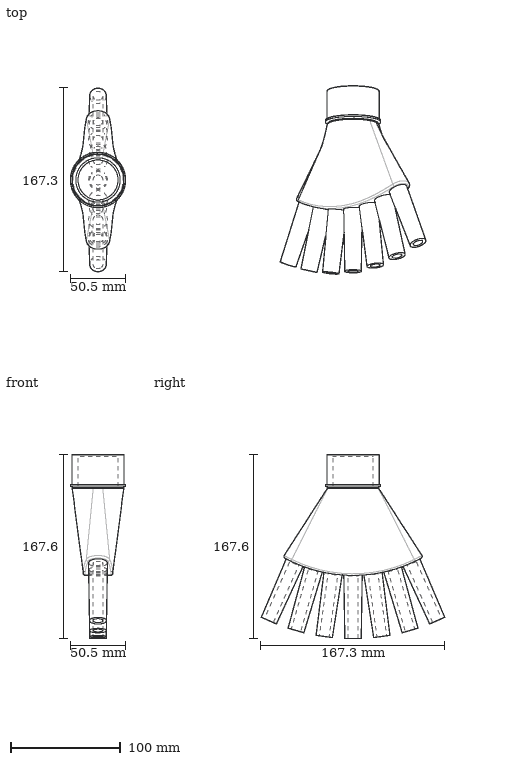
import cadquery as cq
import math

total_height = 167.6

socket_diameter = 47.8
bore_diameter = 36.4
bore_depth = 30.2
bore_lead_in = 2.0
rim_chamfer = 0.5

collar_diameter = 50.5
collar_top = 140.3
collar_bottom = 138.6
groove_diameter = 45.8
groove_top = 137.5
body_top = 136.5

neck_diameter = 47.3
neck_end_half_width = 4.4
base_level = 57.5
base_half_width = 13.2
end_half_width = 12.0
end_start = 63.0
end_tip = 74.5
fan_radius = 130.8
edge_radius = 1.7

tube_count = 7
tube_pitch = 8.0
tube_reach = 188.5
tube_length = 67.0
tube_end_diameter = 15.3
tube_taper = 0.9
tube_bore_diameter = 8.9
tube_bore_depth = 57.0


def turned_top():
    """Socket, collar and groove as one solid of revolution."""
    socket_radius = socket_diameter / 2
    collar_radius = collar_diameter / 2
    groove_radius = groove_diameter / 2
    outline = [
        (0, body_top),
        (groove_radius, body_top),
        (groove_radius, groove_top),
        (collar_radius, collar_bottom),
        (collar_radius, collar_top),
        (socket_radius, collar_top),
        (socket_radius, total_height - rim_chamfer),
        (socket_radius - rim_chamfer, total_height),
        (0, total_height),
    ]
    return cq.Workplane("XZ").polyline(outline).close().revolve(360, (0, 0), (0, 1))


def socket_bore():
    """Blind bore with a conical lead-in at the mouth."""
    radius = bore_diameter / 2
    floor = total_height - bore_depth
    outline = [
        (0, floor),
        (radius, floor),
        (radius, total_height - bore_lead_in),
        (radius + bore_lead_in, total_height),
        (0, total_height),
    ]
    return cq.Workplane("XZ").polyline(outline).close().revolve(360, (0, 0), (0, 1))


def four_arc_wire(level, side, corner_x, corner_y, tip):
    """Closed outline of two side arcs and two end arcs, symmetric in X and Y."""
    return (
        cq.Workplane("XY", origin=(0, 0, level))
        .moveTo(corner_x, -corner_y)
        .threePointArc((side, 0), (corner_x, corner_y))
        .threePointArc((0, tip), (-corner_x, corner_y))
        .threePointArc((-side, 0), (-corner_x, -corner_y))
        .threePointArc((0, -tip), (corner_x, -corner_y))
        .close()
        .val()
    )


def fan_body():
    """Ruled blend from the neck circle to the flat base, its lower edge cut to an arc."""
    neck_radius = neck_diameter / 2
    neck_corner_y = math.sqrt(neck_radius**2 - neck_end_half_width**2)
    neck = four_arc_wire(body_top, neck_radius, neck_end_half_width, neck_corner_y, neck_radius)
    base = four_arc_wire(base_level, base_half_width, end_half_width, end_start, end_tip)
    blend = cq.Workplane(cq.Solid.makeLoft([neck, base], True))
    fan_disc = (
        cq.Workplane("YZ", origin=(0, 0, base_level + fan_radius))
        .circle(fan_radius)
        .extrude(collar_diameter, both=True)
    )
    body = blend.intersect(fan_disc)
    return body.faces("%CYLINDER").faces("<Z").edges().fillet(edge_radius)


def place_tube(shape, angle):
    """Swing a shape built on the central tube axis about the common pivot."""
    return shape.rotate((0, 0, tube_reach), (1, 0, tube_reach), angle)


tube = cq.Workplane("XY").circle(tube_end_diameter / 2).extrude(tube_length, taper=-tube_taper)
tube_bore = cq.Workplane("XY").circle(tube_bore_diameter / 2).extrude(tube_bore_depth)
first_angle = -tube_pitch * (tube_count - 1) / 2
tube_angles = [first_angle + tube_pitch * i for i in range(tube_count)]

result = turned_top().union(fan_body())
for angle in tube_angles:
    result = result.union(place_tube(tube, angle))
for angle in tube_angles:
    result = result.cut(place_tube(tube_bore, angle))
result = result.cut(socket_bore())